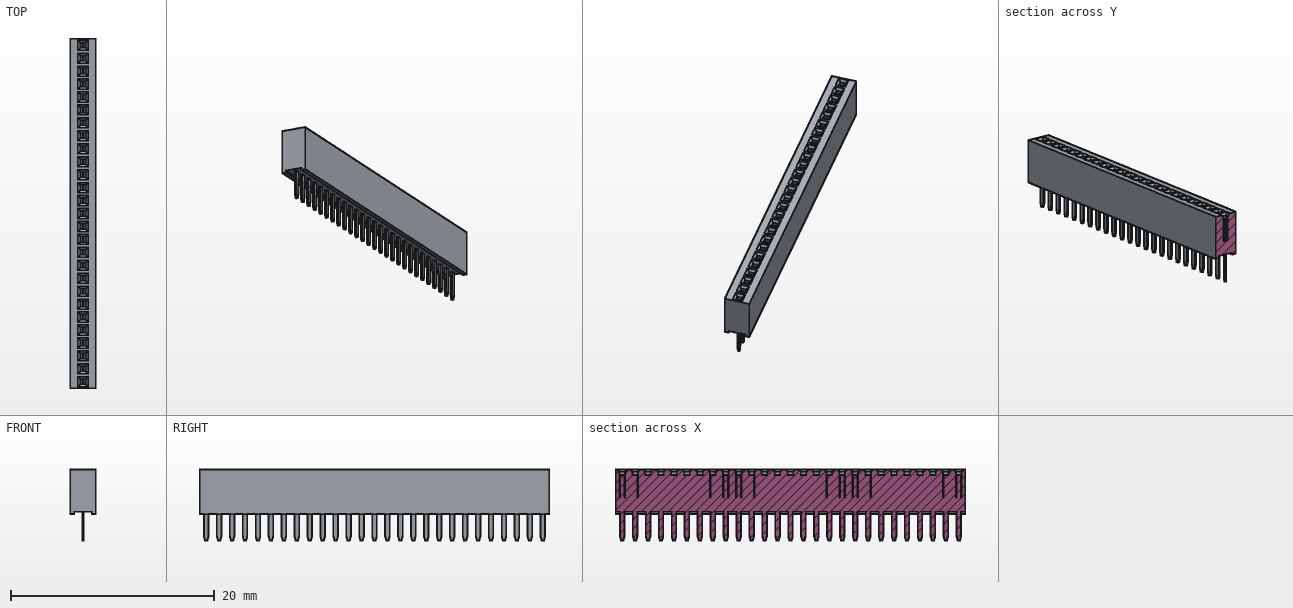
import cadquery as cq

pin_count = 27
body_length = 34.3
body_width = 2.55
total_height = 7.0
pitch = body_length / pin_count

body_height = 4.4
foot_width = 0.4
foot_height = 0.2

pin_thickness = 0.17
pin_width = 0.48
tip_width = 0.25
tip_length = 0.45

mouth_size = 1.0
throat_size = 0.5
funnel_depth = 0.25
hole_depth = 2.75

contact_drop = 0.55

body_bottom = total_height - body_height
hole_floor = total_height - hole_depth
contact_top = total_height - contact_drop
pin_places = [(i - (pin_count - 1) / 2) * pitch for i in range(pin_count)]


def make_housing():
    """Long block with a channel along its underside that leaves two feet."""
    block = cq.Workplane("XY").workplane(offset=body_bottom).box(
        body_width, body_length, body_height, centered=(True, True, False)
    )
    channel = cq.Workplane("XY").workplane(offset=body_bottom).box(
        body_width - 2 * foot_width, body_length, foot_height, centered=(True, True, False)
    )
    return block.cut(channel)


def make_socket():
    """Funnel and straight hole, to be removed at each place."""
    funnel = (
        cq.Workplane("XY")
        .workplane(offset=total_height)
        .rect(mouth_size, mouth_size)
        .workplane(offset=-funnel_depth)
        .rect(throat_size, throat_size)
        .loft()
    )
    hole = cq.Workplane("XY").workplane(offset=hole_floor).box(
        throat_size, throat_size, hole_depth - funnel_depth, centered=(True, True, False)
    )
    return funnel.union(hole)


def make_pin():
    """Flat pin with a blunt tapered tip, reaching up into the socket as its contact."""
    return (
        cq.Workplane("YZ")
        .moveTo(-tip_width / 2, 0)
        .lineTo(tip_width / 2, 0)
        .lineTo(pin_width / 2, tip_length)
        .lineTo(pin_width / 2, contact_top)
        .lineTo(-pin_width / 2, contact_top)
        .lineTo(-pin_width / 2, tip_length)
        .close()
        .extrude(pin_thickness / 2, both=True)
    )


def at_every_pin(shape):
    """Copies of a shape, one at each pin place."""
    single = shape.val()
    copies = [single.translate(cq.Vector(0, y, 0)) for y in pin_places]
    return cq.Workplane(cq.Compound.makeCompound(copies))


result = (
    make_housing()
    .cut(at_every_pin(make_socket()))
    .union(at_every_pin(make_pin()))
)